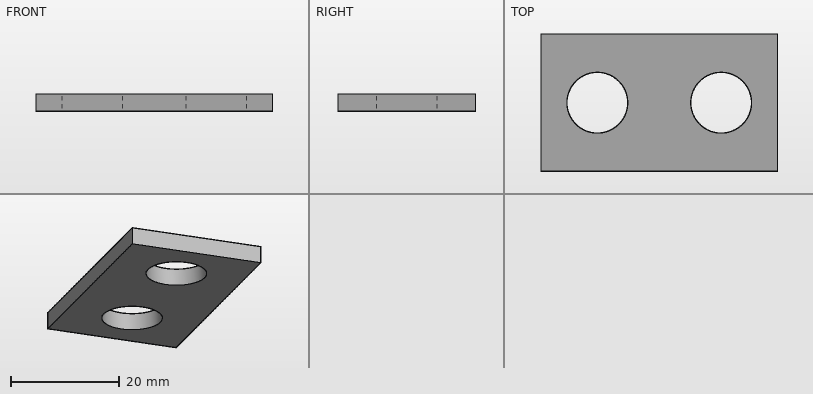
import cadquery as cq

length = 43.7
width = 25.4
thickness = 3.25

hole_diameter = 11.2
hole_spacing = 22.85

plate = cq.Workplane("XY").box(length, width, thickness)

result = (
    plate.faces(">Z")
    .workplane()
    .rarray(hole_spacing, 0.45, 2, 1)
    .hole(hole_diameter)
)